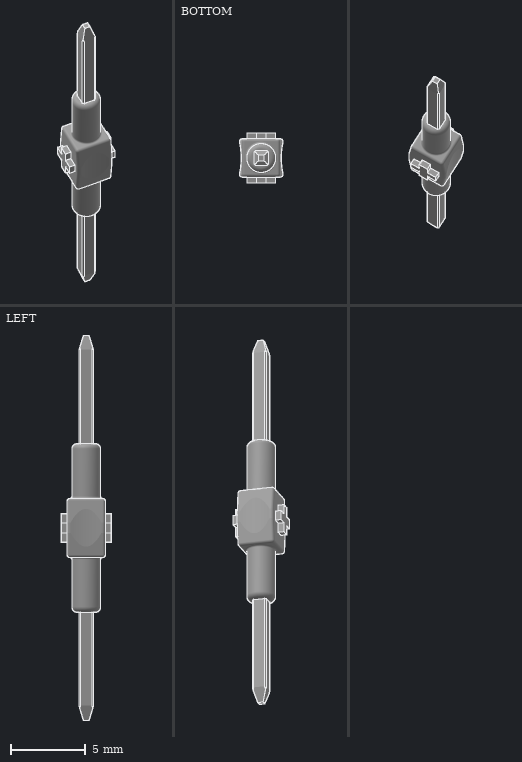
import cadquery as cq

length = 26.0
pin_width = 1.0
pin_round = 1.25
tip_length = 1.0
tip_width = 0.4

block_height = 4.0
block_depth = 2.6
block_end_width = 2.55
block_bulge = 2.95
block_fillet = 0.195
bulge_flat = 0.7

dimple_depth = 0.11
dimple_width = 2.08

cross_span = 1.95
cross_arm = 0.65
cross_total = 3.4

sleeve_diameter = 1.95
sleeve_length = 11.4
sleeve_base_fillet = 0.117

half_depth = block_depth / 2
half_end = block_end_width / 2
half_bulge = block_bulge / 2
half_height = block_height / 2
half_flat = bulge_flat / 2
sleeve_end_fillet = (sleeve_diameter - pin_round) / 2


def make_pin():
    """Square pin with rounded corners and a square taper at each end."""
    shank = cq.Workplane("XY").box(pin_width, pin_width, length - 2 * tip_length)
    for side in (">Z", "<Z"):
        shank = (
            shank.faces(side).workplane()
            .rect(pin_width, pin_width)
            .workplane(offset=tip_length)
            .rect(tip_width, tip_width)
            .loft(combine=True)
        )
    rounding = cq.Workplane("XY").circle(pin_round / 2).extrude(length / 2, both=True)
    return shank.intersect(rounding)


def make_block():
    """Rounded block whose X sides slope out to an upright band, with a shallow dimple in each."""
    block = (
        cq.Workplane("XZ")
        .moveTo(half_end, -half_height)
        .lineTo(half_bulge, -half_flat)
        .lineTo(half_bulge, half_flat)
        .lineTo(half_end, half_height)
        .lineTo(-half_end, half_height)
        .lineTo(-half_bulge, half_flat)
        .lineTo(-half_bulge, -half_flat)
        .lineTo(-half_end, -half_height)
        .close()
        .extrude(half_depth, both=True)
    )
    block = block.edges().fillet(block_fillet)
    half_chord = dimple_width / 2
    dimple_radius = (half_chord**2 + dimple_depth**2) / (2 * dimple_depth)
    dimple_axis = half_bulge - dimple_depth + dimple_radius
    for side in (-1, 1):
        cutter = (
            cq.Workplane("XY")
            .center(side * dimple_axis, 0)
            .circle(dimple_radius)
            .extrude(half_height, both=True)
        )
        block = block.cut(cutter)
    return block


def make_crosses():
    """Plus sign that stands out from both Y sides of the block."""
    upright = cq.Workplane("XY").box(cross_arm, cross_total, cross_span)
    level = cq.Workplane("XY").box(cross_span, cross_total, cross_arm)
    return upright.union(level)


def make_sleeve():
    """Round sleeve along Z with rounded end rims."""
    return (
        cq.Workplane("XY")
        .circle(sleeve_diameter / 2)
        .extrude(sleeve_length / 2, both=True)
        .faces("<Z or >Z")
        .edges()
        .fillet(sleeve_end_fillet)
    )


def make_housing(pin):
    """Block, sleeve and crosses in one piece, with a hole that fits the pin."""
    body = make_block().union(make_sleeve())
    sleeve_reach = sleeve_diameter / 2 + sleeve_base_fillet
    for base_height in (-half_height, half_height):
        base = cq.selectors.BoxSelector(
            (-sleeve_reach, -sleeve_reach, base_height - sleeve_base_fillet),
            (sleeve_reach, sleeve_reach, base_height + sleeve_base_fillet),
        )
        body = body.edges("%CIRCLE").edges(base).fillet(sleeve_base_fillet)
    return body.union(make_crosses()).cut(pin)


pin = make_pin()
housing = make_housing(pin)

result = cq.Compound.makeCompound([pin.val(), housing.val()])